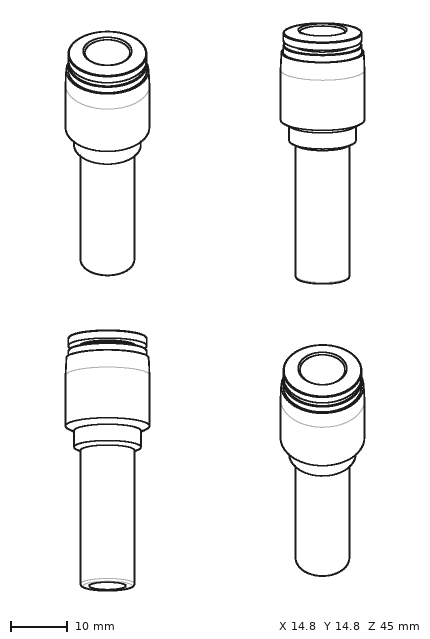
import cadquery as cq

body_diameter = 14.8
body_top_diameter = 14.5
rim_diameter = 13.8
collar_diameter = 11.8
neck_diameter = 9.95
neck_relief_diameter = 9.85
stem_diameter = 9.55
tube_socket_diameter = 7.9
socket_mouth_diameter = 8.55
bore_diameter = 6.5

total_height = 45.0
cap_edge_height = 44.5
cap_bottom_height = 43.05
neck_relief_height = 42.8
ring_top_height = 42.25
body_shoulder_height = 40.9
crown_start_height = 37.8
body_bottom_height = 28.65
collar_top_height = 27.8
collar_chamfer_height = 24.9
stem_top_height = 24.3

stem_end_fillet = 0.4
rim_chamfer = 0.15
socket_mouth_depth = 0.3
socket_floor_height = collar_top_height


def crown_mid_radius():
    """Radius halfway up the crown, which leaves the straight body tangentially."""
    radius_drop = (body_diameter - body_top_diameter) / 2
    crown_height = body_shoulder_height - crown_start_height
    arc_radius = (crown_height**2 + radius_drop**2) / (2 * radius_drop)
    mid_drop = arc_radius - (arc_radius**2 - (crown_height / 2) ** 2) ** 0.5
    return body_diameter / 2 - mid_drop


def outer_body():
    """Solid of revolution from the stem up to the release cap."""
    crown_mid_height = (crown_start_height + body_shoulder_height) / 2
    profile = (
        cq.Workplane("XZ")
        .lineTo(stem_diameter / 2, 0)
        .lineTo(stem_diameter / 2, stem_top_height)
        .lineTo(collar_diameter / 2, collar_chamfer_height)
        .lineTo(collar_diameter / 2, collar_top_height)
        .lineTo(body_diameter / 2, body_bottom_height)
        .lineTo(body_diameter / 2, crown_start_height)
        .threePointArc(
            (crown_mid_radius(), crown_mid_height),
            (body_top_diameter / 2, body_shoulder_height),
        )
        .lineTo(rim_diameter / 2, body_shoulder_height)
        .lineTo(rim_diameter / 2, ring_top_height - rim_chamfer)
        .lineTo(rim_diameter / 2 - rim_chamfer, ring_top_height)
        .lineTo(neck_diameter / 2, ring_top_height)
        .lineTo(neck_diameter / 2, neck_relief_height)
        .lineTo(neck_relief_diameter / 2, neck_relief_height)
        .lineTo(neck_relief_diameter / 2, cap_bottom_height)
        .lineTo(rim_diameter / 2, cap_bottom_height)
        .lineTo(rim_diameter / 2, cap_edge_height - rim_chamfer)
        .lineTo(rim_diameter / 2 - rim_chamfer, cap_edge_height)
        .lineTo(socket_mouth_diameter / 2, total_height)
        .lineTo(0, total_height)
        .close()
    )
    solid = profile.revolve(360, (0, 0, 0), (0, 1, 0))
    return solid.faces("<Z").edges().fillet(stem_end_fillet)


def inner_passage():
    """Through bore, wider tube socket and tapered socket mouth."""
    mouth_start_height = total_height - socket_mouth_depth
    return (
        cq.Workplane("XZ")
        .lineTo(bore_diameter / 2, 0)
        .lineTo(bore_diameter / 2, socket_floor_height)
        .lineTo(tube_socket_diameter / 2, socket_floor_height)
        .lineTo(tube_socket_diameter / 2, mouth_start_height)
        .lineTo(socket_mouth_diameter / 2, total_height)
        .lineTo(0, total_height)
        .close()
        .revolve(360, (0, 0, 0), (0, 1, 0))
    )


result = outer_body().cut(inner_passage())